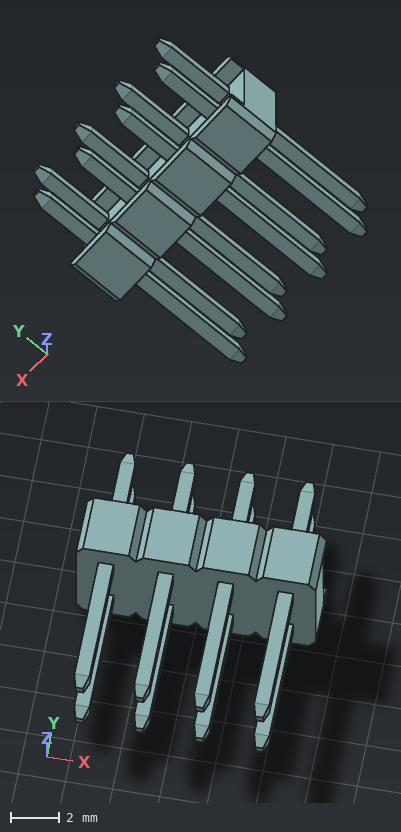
import cadquery as cq

columns = 4
rows = 2
body_width = 10.15
body_height = 5.08
column_pitch = body_width / columns
row_pitch = body_height / rows

body_depth = 2.5
bevel_width = 0.3
bevel_height = 0.41
recess_depth = 0.71
rim_height = 0.68

pin_length = 11.5
pin_front_reach = 6.0
pin_size = 0.64
tip_size = 0.32
tip_length = 0.55


def centred_positions(count, pitch):
    """Evenly spaced coordinates, symmetric about zero."""
    return [(i - (count - 1) / 2) * pitch for i in range(count)]


column_positions = centred_positions(columns, column_pitch)
row_positions = centred_positions(rows, row_pitch)


def housing_segment(x):
    """Full-height block of one column, bevelled at its four corners."""
    half_width = column_pitch / 2
    half_height = body_height / 2
    flat = half_width - bevel_width
    side = half_height - bevel_height
    outline = [
        (-half_width, -side),
        (-flat, -half_height),
        (flat, -half_height),
        (half_width, -side),
        (half_width, side),
        (flat, half_height),
        (-flat, half_height),
        (-half_width, side),
    ]
    segment = cq.Workplane("XZ").polyline(outline).close().extrude(-body_depth)
    return segment.translate((x, 0, 0))


def housing():
    """Row of joined segments with a channel along X in the rear face."""
    body = housing_segment(column_positions[0])
    for x in column_positions[1:]:
        body = body.union(housing_segment(x))
    channel_height = body_height - 2 * rim_height
    channel = (
        cq.Workplane("XY")
        .box(body_width, recess_depth, channel_height)
        .translate((0, body_depth - recess_depth / 2, 0))
    )
    return body.cut(channel)


def pin():
    """One pin along Y, centred on X = Z = 0, tapered at both ends."""
    front_shoulder = tip_length - pin_front_reach
    rear_shoulder = pin_length - pin_front_reach - tip_length
    shank_length = rear_shoulder - front_shoulder
    shank = (
        cq.Workplane("XZ", origin=(0, front_shoulder, 0))
        .rect(pin_size, pin_size)
        .extrude(-shank_length)
    )
    front_tip = (
        cq.Workplane("XZ", origin=(0, front_shoulder, 0))
        .rect(pin_size, pin_size)
        .workplane(offset=tip_length)
        .rect(tip_size, tip_size)
        .loft(ruled=True)
    )
    rear_tip = (
        cq.Workplane("XZ", origin=(0, rear_shoulder, 0))
        .rect(pin_size, pin_size)
        .workplane(offset=-tip_length)
        .rect(tip_size, tip_size)
        .loft(ruled=True)
    )
    return shank.union(front_tip).union(rear_tip)


result = housing()
single_pin = pin()
for x in column_positions:
    for z in row_positions:
        result = result.union(single_pin.translate((x, 0, z)))